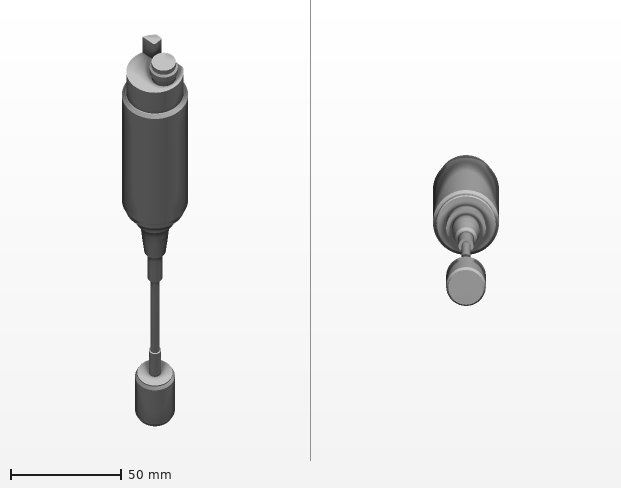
import cadquery as cq

housing_radius = 15.0
housing_bottom = 142.5
housing_top = 217.0
housing_chamfer = 1.5

boss_radius = 13.0
boss_flat_y = 10.5
boss_top = 231.0

post_right_x = -4.7
post_front_y = 4.9
post_back_y = 10.2
post_fillet = 1.0
overall_top = 241.5

connector_x = 5.3
connector_neck_radius = 5.5
connector_ring_radius = 6.4
ring_bottom = 233.8
ring_top = 238.8
ring_chamfer = connector_ring_radius - connector_neck_radius

head_radius = 9.0
head_rim_radius = 8.0
head_height = 27.6
head_rim_height = 0.7
head_chamfer_height = 1.5

sleeve_radius = 2.7
sleeve_top = 42.9
cable_radius = 2.0

relief_tube_radius = 3.4
relief_tube_bottom = 92.0
relief_tube_top = 107.6
relief_cone_bottom = 110.0
relief_cone_bottom_radius = 4.9
relief_cone_middle = 117.8
relief_cone_middle_radius = 5.75
relief_cone_top = 124.0
relief_cone_top_radius = 6.3
relief_collar_top = 131.6
gland_radius = 9.0

cover_radius = 13.5
cover_chamfer = 0.5
cover_bottom = 139.2


def cylinder(radius, bottom, top, x=0.0):
    """Upright cylinder between two heights."""
    return cq.Workplane("XY", origin=(x, 0, bottom)).circle(radius).extrude(top - bottom)


def boss_prism(bottom, top):
    """Round prism with a flat on its +Y side."""
    width = 2 * boss_radius
    depth = boss_radius + boss_flat_y
    flat_limit = (
        cq.Workplane("XY", origin=(0, boss_flat_y - depth / 2, bottom))
        .rect(width, depth)
        .extrude(top - bottom)
    )
    return cylinder(boss_radius, bottom, top).intersect(flat_limit)


def make_post():
    """Corner of the boss outline raised to full height, with its inner edges rounded."""
    corner = (
        cq.Workplane("XY", origin=(post_right_x, post_front_y, boss_top))
        .rect(-boss_radius, post_back_y - post_front_y, centered=False)
        .extrude(overall_top - boss_top)
    )
    corner = corner.edges("|Z and >X").fillet(post_fillet)
    return boss_prism(boss_top, overall_top).intersect(corner)


def make_connector():
    """Connector neck carrying a wider ring chamfered at both ends."""
    neck = cylinder(connector_neck_radius, boss_top, overall_top, connector_x)
    ring = cylinder(connector_ring_radius, ring_bottom, ring_top, connector_x)
    return neck.union(ring.faces("<Z or >Z").chamfer(ring_chamfer))


def make_housing():
    barrel = cylinder(housing_radius, housing_bottom, housing_top)
    barrel = barrel.faces("<Z or >Z").chamfer(housing_chamfer)
    boss = boss_prism(housing_top, boss_top)
    return barrel.union(boss).union(make_post()).union(make_connector())


def make_probe():
    """Sensor head, cable, strain relief and cover disc as one turned profile."""
    profile = [
        (0, 0),
        (head_rim_radius, 0),
        (head_rim_radius, head_rim_height),
        (head_radius, head_rim_height + head_chamfer_height),
        (head_radius, head_height - head_rim_height - head_chamfer_height),
        (head_rim_radius, head_height - head_rim_height),
        (head_rim_radius, head_height),
        (sleeve_radius, head_height),
        (sleeve_radius, sleeve_top),
        (cable_radius, sleeve_top),
        (cable_radius, relief_tube_bottom),
        (relief_tube_radius, relief_tube_bottom),
        (relief_tube_radius, relief_tube_top),
        (relief_cone_bottom_radius, relief_cone_bottom),
        (relief_cone_middle_radius, relief_cone_middle),
        (relief_cone_top_radius, relief_cone_top),
        (relief_cone_top_radius, relief_collar_top),
        (gland_radius, relief_collar_top),
        (gland_radius, cover_bottom),
        (cover_radius - cover_chamfer, cover_bottom),
        (cover_radius, cover_bottom + cover_chamfer),
        (cover_radius, housing_bottom),
        (0, housing_bottom),
    ]
    return cq.Workplane("XZ").polyline(profile).close().revolve(360, (0, 0), (0, 1))


housing = make_housing()
probe = make_probe()

result = cq.Compound.makeCompound([housing.val(), probe.val()])